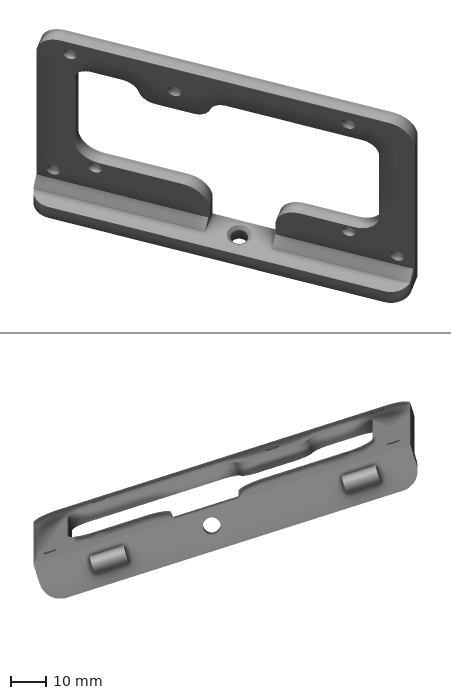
import cadquery as cq

width = 112.0
depth = 12.0
total_height = 76.0
foot_height = 5.0
plate_height = total_height - foot_height
plate_thickness = 4.0
plate_corner_radius = 7.5

base_height = 4.9
base_corner_radius = 6.0
gusset_size = 3.0

window_left = -44.8
window_right = 45.8
window_bottom = 20.0
window_top = 60.3
upper_window_radius = 5.0
lower_window_radius = 7.5
slot_center_x = 5.0
slot_width = 19.9
slot_left = slot_center_x - slot_width / 2
slot_right = slot_center_x + slot_width / 2

tab_center_x = -15.0
tab_bottom = 53.1
tab_root_half_width = 12.0
tab_tip_half_width = 9.2

screw_diameter = 4.0
right_screw_x = 36.6
upper_screw_z = 65.9
middle_screw_z = 17.5
lower_screw_x = 51.1
lower_screw_z = 11.9
tab_screw_z = 60.9
screw_points = [
    (-46.1, upper_screw_z),
    (right_screw_x, upper_screw_z),
    (tab_center_x, tab_screw_z),
    (-38.6, middle_screw_z),
    (right_screw_x, middle_screw_z),
    (-lower_screw_x, lower_screw_z),
    (lower_screw_x, lower_screw_z),
]

base_hole_x = 4.6
base_hole_y = -5.0
base_hole_diameter = 5.0
countersink_diameter = 7.0
countersink_angle = 90

foot_centers_x = (-40.0, 35.0)
foot_length = 10.1
foot_thickness = 5.0
foot_center_y = -4.9


def make_plate():
    plate = cq.Workplane("XY").box(width, plate_thickness, plate_height, centered=(True, False, False))
    plate = plate.translate((0, -plate_thickness, 0))
    return plate.edges("|Y and >Z").fillet(plate_corner_radius)


def make_rounded_block(height):
    """Block on the base footprint, with its two front corners rounded."""
    block = cq.Workplane("XY").box(width, depth, height, centered=(True, False, False))
    block = block.translate((0, -depth, 0))
    return block.edges("|Z and <Y").fillet(base_corner_radius)


def make_gusset():
    """Triangular strip along the corner between the plate and the base, trimmed to the base footprint."""
    front_y = -plate_thickness
    strip = (
        cq.Workplane("YZ", origin=(-width / 2, 0, 0))
        .moveTo(front_y, base_height)
        .lineTo(front_y - gusset_size, base_height)
        .lineTo(front_y, base_height + gusset_size)
        .close()
        .extrude(width)
    )
    return strip.intersect(make_rounded_block(plate_height))


def make_window_cutter():
    """Window and slot as one rounded outline, cut through the full depth above the base."""
    outline = [
        (slot_left, base_height),
        (slot_left, window_bottom),
        (window_left, window_bottom),
        (window_left, window_top),
        (tab_center_x - tab_root_half_width, window_top),
        (tab_center_x - tab_tip_half_width, tab_bottom),
        (tab_center_x + tab_tip_half_width, tab_bottom),
        (tab_center_x + tab_root_half_width, window_top),
        (window_right, window_top),
        (window_right, window_bottom),
        (slot_right, window_bottom),
        (slot_right, base_height),
    ]
    cutter = cq.Workplane("XZ").polyline(outline).close().extrude(depth)
    middle_z = (window_bottom + window_top) / 2
    cutter = cutter.edges("|Y").filter(lambda edge: edge.Center().z > middle_z).fillet(upper_window_radius)
    return (
        cutter.edges("|Y")
        .filter(lambda edge: abs(edge.Center().z - window_bottom) < 0.01)
        .fillet(lower_window_radius)
    )


def make_screw_holes():
    return cq.Workplane("XZ").pushPoints(screw_points).circle(screw_diameter / 2).extrude(depth)


def make_foot(center_x):
    """Foot with straight sides and a half-round underside, reaching the underside of the base."""
    radius = foot_thickness / 2
    round_start_z = radius - foot_height
    return (
        cq.Workplane("YZ", origin=(center_x - foot_length / 2, 0, 0))
        .moveTo(foot_center_y - radius, 0)
        .lineTo(foot_center_y - radius, round_start_z)
        .threePointArc((foot_center_y, -foot_height), (foot_center_y + radius, round_start_z))
        .lineTo(foot_center_y + radius, 0)
        .close()
        .extrude(foot_length)
    )


body = make_plate().union(make_rounded_block(base_height)).union(make_gusset())
body = body.cut(make_window_cutter()).cut(make_screw_holes())
body = (
    body.copyWorkplane(cq.Workplane("XY", origin=(base_hole_x, base_hole_y, base_height)))
    .cskHole(base_hole_diameter, countersink_diameter, countersink_angle, depth=base_height)
)
for foot_x in foot_centers_x:
    body = body.union(make_foot(foot_x))

result = body